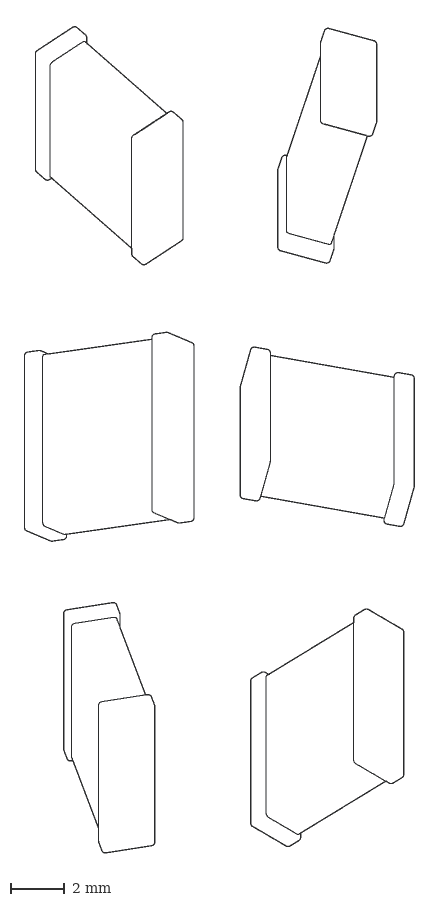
import cadquery as cq

total_length = 6.23
cap_depth = 2.03
cap_height = 6.86

cap_length = 0.76
edge_radius = 0.145
cap_step = edge_radius

body_length = total_length - 2 * cap_length
body_depth = cap_depth - 2 * cap_step
body_height = cap_height - 2 * cap_step

cap_center_x = (total_length - cap_length) / 2


def make_body():
    """Plain block with its four long edges rounded and flat end faces."""
    block = cq.Workplane("XY").box(body_length, body_depth, body_height)
    return block.edges("|X").fillet(edge_radius)


def make_end_cap(center_x):
    """Block rounded on every edge, butted against one end of the body."""
    block = cq.Workplane("XY").box(cap_length, cap_depth, cap_height)
    return block.edges().fillet(edge_radius).translate((center_x, 0, 0))


body = make_body()
end_caps = [make_end_cap(side * cap_center_x) for side in (-1, 1)]

result = cq.Compound.makeCompound([body.val(), *[cap.val() for cap in end_caps]])